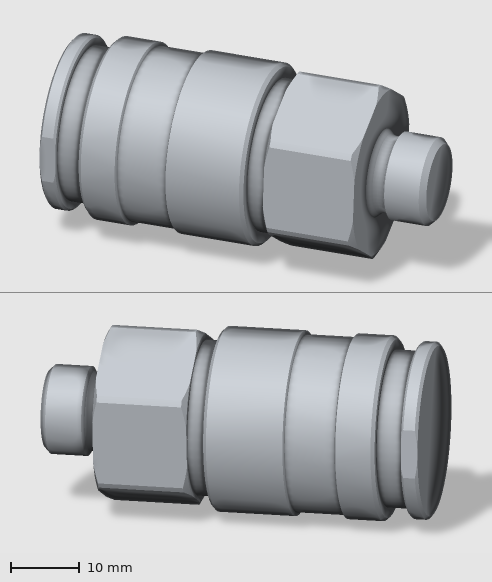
import cadquery as cq
import math


FLANGE_END = 2.45
SLEEVE_START = 6.25
WAIST_START = 12.25
WAIST_END = 19.65
SLEEVE_END = 31.75
HEX_START = 34.45
HEX_END = 48.45
RELIEF_ARC_START = 49.2
RELIEF_ARC_END = 50.85
STUD_START = 51.25
LENGTH = 57.45

FLANGE_DIA = 26.0
BODY_DIA = 23.1
NECK_DIA = 22.8
SLEEVE_DIA = 27.2
WAIST_DIA = 26.0
STUD_DIA = 13.15
RELIEF_EDGE_DIA = 11.85
RELIEF_BOTTOM_DIA = 11.4

FLANGE_FLATS = 25.0

HEX_SIDES = 6
HEX_FLATS = 24.0
HEX_CORNER_DIA = 27.2
HEX_END_DIA = 24.8
HEX_CHAMFER_ANGLE = 30.0
HEX_TILT = 5.6

FLANGE_FRONT_LENGTH = 0.4
FLANGE_FRONT_DEPTH = 0.5
FLANGE_BACK_CHAMFER = 0.35
SLEEVE_CHAMFER = 0.5
WAIST_SHOULDER_LENGTH = 0.25
STUD_CHAMFER = 0.85


def revolve_about_x(half_profile):
    """Turn a closed half profile, drawn in XY as (station, radius), into a solid about X."""
    return half_profile.close().revolve(360, (0, 0, 0), (1, 0, 0))


def make_flange():
    """Chamfered disc at the closed end, with two opposite wrench flats."""
    radius = FLANGE_DIA / 2
    disc = revolve_about_x(
        cq.Workplane("XY")
        .moveTo(0, 0)
        .lineTo(0, radius - FLANGE_FRONT_DEPTH)
        .lineTo(FLANGE_FRONT_LENGTH, radius)
        .lineTo(FLANGE_END - FLANGE_BACK_CHAMFER, radius)
        .lineTo(FLANGE_END, radius - FLANGE_BACK_CHAMFER)
        .lineTo(FLANGE_END, 0)
    )
    between_flats = cq.Workplane("XY").box(2 * FLANGE_END, FLANGE_FLATS, FLANGE_DIA)
    return disc.intersect(between_flats)


def make_hexagon():
    """Hexagon with turned-down corners and conical chamfers on both ends."""
    half_side_angle = 180 / HEX_SIDES
    across_corners = HEX_FLATS / math.cos(math.radians(half_side_angle))
    prism = (
        cq.Workplane("YZ", origin=(HEX_START, 0, 0))
        .transformed(rotate=(0, 0, half_side_angle - HEX_TILT))
        .polygon(HEX_SIDES, across_corners)
        .extrude(HEX_END - HEX_START)
    )
    corner_radius = HEX_CORNER_DIA / 2
    end_radius = HEX_END_DIA / 2
    chamfer_length = (corner_radius - end_radius) * math.tan(math.radians(HEX_CHAMFER_ANGLE))
    turned_envelope = revolve_about_x(
        cq.Workplane("XY")
        .moveTo(HEX_START, 0)
        .lineTo(HEX_START, end_radius)
        .lineTo(HEX_START + chamfer_length, corner_radius)
        .lineTo(HEX_END - chamfer_length, corner_radius)
        .lineTo(HEX_END, end_radius)
        .lineTo(HEX_END, 0)
    )
    return prism.intersect(turned_envelope)


def make_stud():
    """Stud with a round-bottomed thread relief next to the hexagon and a chamfered tip."""
    radius = STUD_DIA / 2
    edge_radius = RELIEF_EDGE_DIA / 2
    relief_middle = (RELIEF_ARC_START + RELIEF_ARC_END) / 2
    return revolve_about_x(
        cq.Workplane("XY")
        .moveTo(HEX_END, 0)
        .lineTo(HEX_END, radius)
        .lineTo(RELIEF_ARC_START, edge_radius)
        .threePointArc((relief_middle, RELIEF_BOTTOM_DIA / 2), (RELIEF_ARC_END, edge_radius))
        .lineTo(STUD_START, radius)
        .lineTo(LENGTH - STUD_CHAMFER, radius)
        .lineTo(LENGTH, radius - STUD_CHAMFER)
        .lineTo(LENGTH, 0)
    )


def make_cylinder(start, end, diameter):
    """Plain cylinder about X between two stations."""
    return cq.Workplane("YZ", origin=(start, 0, 0)).circle(diameter / 2).extrude(end - start)


def make_core():
    """Flange, body, neck, hexagon and stud as one solid."""
    body = make_cylinder(FLANGE_END, SLEEVE_END, BODY_DIA)
    neck = make_cylinder(SLEEVE_END, HEX_START, NECK_DIA)
    return make_flange().union(body).union(neck).union(make_hexagon()).union(make_stud())


def make_sleeve():
    """Ring around the body with chamfered ends and a shallow waist with sloping shoulders."""
    radius = SLEEVE_DIA / 2
    waist_radius = WAIST_DIA / 2
    bore_radius = BODY_DIA / 2
    return revolve_about_x(
        cq.Workplane("XY")
        .moveTo(SLEEVE_START, bore_radius)
        .lineTo(SLEEVE_START, radius - SLEEVE_CHAMFER)
        .lineTo(SLEEVE_START + SLEEVE_CHAMFER, radius)
        .lineTo(WAIST_START - WAIST_SHOULDER_LENGTH, radius)
        .lineTo(WAIST_START, waist_radius)
        .lineTo(WAIST_END, waist_radius)
        .lineTo(WAIST_END + WAIST_SHOULDER_LENGTH, radius)
        .lineTo(SLEEVE_END - SLEEVE_CHAMFER, radius)
        .lineTo(SLEEVE_END, radius - SLEEVE_CHAMFER)
        .lineTo(SLEEVE_END, bore_radius)
    )


core = make_core()
sleeve = make_sleeve()

result = cq.Compound.makeCompound([core.val(), sleeve.val()])